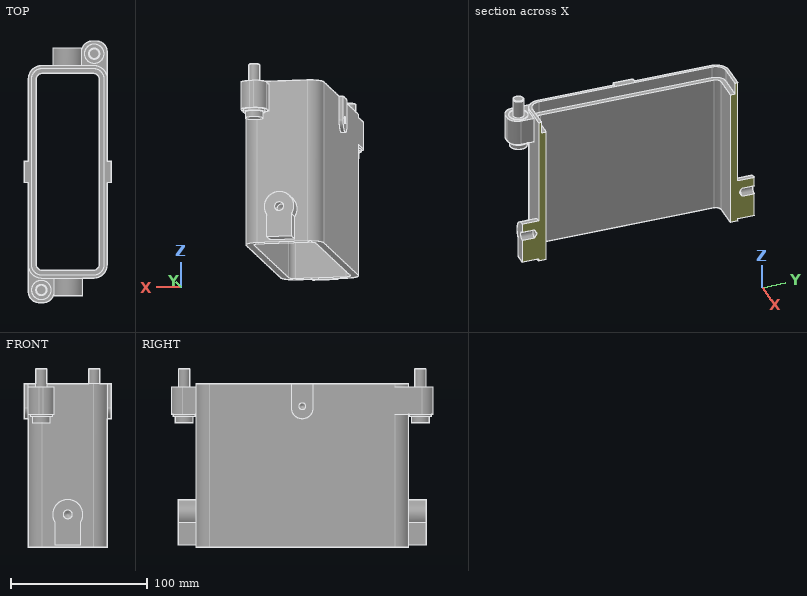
import cadquery as cq
import math

body_width = 58.0
body_length = 156.0
body_height = 120.0
corner_radius = 10.2
wall = 6.0
rim_wall = 2.3
rim_depth = 9.2

overall_length = 192.0
lug_width = 19.0
lug_corner_radius = 8.0
lug_top_drop = 2.3
lug_height = 20.2
lug_recess_radius = 7.1
lug_recess_depth = 0.5

screw_diameter = 8.3
screw_top = 131.3
screw_chamfer = 0.5
screw_side_inset = 9.6
screw_end_inset = 9.5
collar_radius = 8.0
collar_height = 1.7
head_radius = 6.5
head_height = 4.6

overall_width = 64.0
tab_radius = 7.9
tab_centre_drop = 17.9
tab_hole_drop = 16.5
tab_hole_radius = 2.5
tab_hole_depth = 1.0

boss_radius = 11.0
boss_height = 24.2
boss_length = 12.9
foot_width = 18.5
foot_bottom = 1.7
boss_hole_radius = 3.3
boss_hole_depth = 9.6

drill_tip_angle = 118.0

half_width = body_width / 2
half_length = body_length / 2
lug_top = body_height - lug_top_drop
lug_bottom = lug_top - lug_height
screw_x = -half_width + screw_side_inset
screw_y = -overall_length / 2 + screw_end_inset


def rounded_prism(inset, bottom, top):
    """Vertical prism following the housing outline, moved inwards by inset."""
    return (
        cq.Workplane("XY", origin=(0, 0, bottom))
        .rect(body_width - 2 * inset, body_length - 2 * inset)
        .extrude(top - bottom)
        .edges("|Z")
        .fillet(corner_radius - inset)
    )


def upright_cylinder(radius, bottom, top):
    """Vertical cylinder on the screw axis."""
    return cq.Workplane("XY", origin=(screw_x, screw_y, bottom)).circle(radius).extrude(top - bottom)


def drilled_hole(radius, depth):
    """Blind hole with a drill tip, going along +Y from the origin."""
    tip = radius / math.tan(math.radians(drill_tip_angle / 2))
    return (
        cq.Workplane("XY")
        .polyline([(0, 0), (radius, 0), (radius, depth), (0, depth + tip)])
        .close()
        .revolve(360, (0, 0, 0), (0, 1, 0))
    )


def turned(shape):
    """The same shape at the opposite side of the housing."""
    return shape.rotate((0, 0, 0), (0, 0, 1), 180)


def make_lug():
    """Block flush with the long side, reaching back over the rounded housing corner."""
    length = overall_length / 2 - half_length + corner_radius
    lug = (
        cq.Workplane("XY", origin=(-half_width, -overall_length / 2, lug_bottom))
        .rect(lug_width, length, centered=False)
        .extrude(lug_height)
        .edges("|Z and <Y")
        .fillet(lug_corner_radius)
    )
    return lug.cut(upright_cylinder(lug_recess_radius, lug_top - lug_recess_depth, lug_top))


def make_screw():
    """Plain shank above the lug, collar and head below it."""
    collar_bottom = lug_bottom - collar_height
    shank = upright_cylinder(screw_diameter / 2, lug_bottom, screw_top).faces(">Z").chamfer(screw_chamfer)
    collar = upright_cylinder(collar_radius, collar_bottom, lug_bottom)
    head = upright_cylinder(head_radius, collar_bottom - head_height, collar_bottom)
    return shank.union(collar).union(head)


def make_tab():
    """Flat tab on the -X side, round at its lower end."""
    centre = body_height - tab_centre_drop
    return (
        cq.Workplane("YZ", origin=(-overall_width / 2, 0, 0))
        .moveTo(-tab_radius, body_height)
        .lineTo(-tab_radius, centre)
        .threePointArc((0, centre - tab_radius), (tab_radius, centre))
        .lineTo(tab_radius, body_height)
        .close()
        .extrude((overall_width - body_width) / 2)
    )


def make_boss():
    """Round boss on the -Y end with a straight foot below it."""
    half_foot = foot_width / 2
    neck = boss_height - math.sqrt(boss_radius**2 - half_foot**2)
    return (
        cq.Workplane("XZ", origin=(0, -half_length, 0))
        .moveTo(-half_foot, foot_bottom)
        .lineTo(-half_foot, neck)
        .threePointArc((0, boss_height + boss_radius), (half_foot, neck))
        .lineTo(half_foot, foot_bottom)
        .close()
        .extrude(boss_length)
    )


tab_hole = (
    drilled_hole(tab_hole_radius, tab_hole_depth)
    .rotate((0, 0, 0), (0, 0, 1), -90)
    .translate((-overall_width / 2, 0, body_height - tab_hole_drop))
)
boss_hole = drilled_hole(boss_hole_radius, boss_hole_depth).translate(
    (0, -half_length - boss_length, boss_height)
)

result = rounded_prism(0, 0, body_height)
for feature in (make_lug(), make_screw(), make_tab(), make_boss()):
    result = result.union(feature).union(turned(feature))

result = result.cut(rounded_prism(wall, 0, body_height))
result = result.cut(rounded_prism(rim_wall, body_height - rim_depth, body_height))

for hole in (tab_hole, boss_hole):
    result = result.cut(hole).cut(turned(hole))